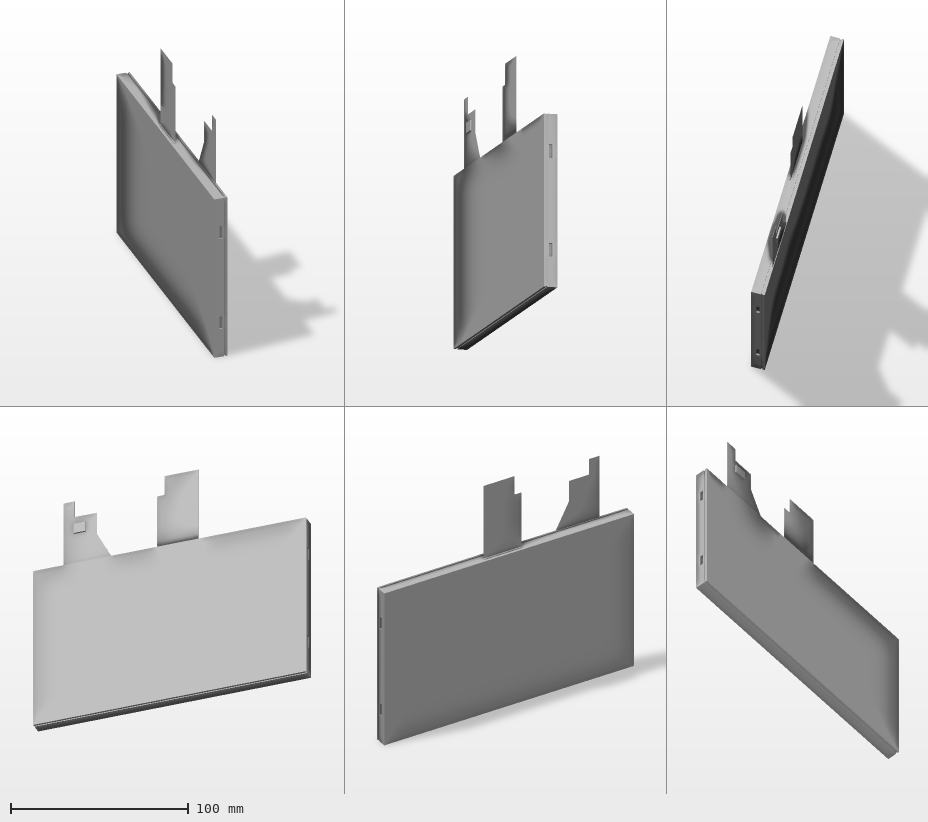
import cadquery as cq

WIDTH = 164.9
PANEL_HEIGHT = 100.0
TOTAL_HEIGHT = 148.0
TOTAL_DEPTH = 8.5

HOUSING_BACK = 5.8
ADHESIVE_BACK = 6.8
GLASS_BACK = 7.9
ADHESIVE_INSET = 0.5

RECESS_FRONT = 3.0
RECESS_BACK = 5.0
RECESS_HEIGHT = 7.8
RECESS_DEPTH = 1.2
RECESS_END_OFFSET = 17.6

TAIL_THICKNESS = 0.2
DISPLAY_TAIL_FRONT = 2.5
DISPLAY_TAIL_LEFT = -15.3
DISPLAY_TAIL_RIGHT = 9.7
DISPLAY_TAIL_STEP_X = 5.0
DISPLAY_TAIL_STEP_DROP = 12.2
DISPLAY_TAIL_FILLET = 1.0
STRIP_FRONT = 1.6
STRIP_HEIGHT = 0.5

TOUCH_TAIL_FRONT = 7.5
TOUCH_TAIL_ROOT_LEFT = 35.3
TOUCH_TAIL_LEFT = 44.0
TOUCH_TAIL_STEP_X = 57.4
TOUCH_TAIL_RIGHT = 64.3
TOUCH_TAIL_SLANT_TOP = 116.5
TOUCH_TAIL_STEP_Z = 130.0
TOUCH_TAIL_TOP = 140.2

CHIP_LEFT = 50.5
CHIP_WIDTH = 7.5
CHIP_BOTTOM = 119.0
CHIP_HEIGHT = 6.1


def box(left, right, front, back, bottom, top):
    """Box given by its limits along X, Y and Z."""
    size = (right - left, back - front, top - bottom)
    return cq.Workplane("XY").box(*size, centered=False).translate((left, front, bottom))


def sheet(outline, front):
    """Flex sheet with an (X, Z) outline, reaching back from its front face."""
    profile = cq.Workplane("XZ", origin=(0, front, 0)).polyline(outline).close()
    return profile.extrude(-TAIL_THICKNESS)


def panel():
    """Housing, inset adhesive layer and cover glass."""
    side = WIDTH / 2
    inset_side = side - ADHESIVE_INSET
    housing = box(-side, side, 0, HOUSING_BACK, 0, PANEL_HEIGHT)
    adhesive = box(
        -inset_side, inset_side, HOUSING_BACK, ADHESIVE_BACK,
        ADHESIVE_INSET, PANEL_HEIGHT - ADHESIVE_INSET,
    )
    glass = box(-side, side, ADHESIVE_BACK, GLASS_BACK, 0, PANEL_HEIGHT)
    upper_recess = PANEL_HEIGHT - RECESS_END_OFFSET - RECESS_HEIGHT
    for bottom in (RECESS_END_OFFSET, upper_recess):
        for left in (-side, side - RECESS_DEPTH):
            recess = box(
                left, left + RECESS_DEPTH, RECESS_FRONT, RECESS_BACK,
                bottom, bottom + RECESS_HEIGHT,
            )
            housing = housing.cut(recess)
    return housing.union(adhesive).union(glass)


def display_tail():
    """Stepped flex tail rising from the housing, with a low strip along its root."""
    step_z = TOTAL_HEIGHT - DISPLAY_TAIL_STEP_DROP
    outline = [
        (DISPLAY_TAIL_LEFT, PANEL_HEIGHT),
        (DISPLAY_TAIL_RIGHT, PANEL_HEIGHT),
        (DISPLAY_TAIL_RIGHT, step_z),
        (DISPLAY_TAIL_STEP_X, step_z),
        (DISPLAY_TAIL_STEP_X, TOTAL_HEIGHT),
        (DISPLAY_TAIL_LEFT, TOTAL_HEIGHT),
    ]
    tail = sheet(outline, DISPLAY_TAIL_FRONT)
    step_corner = (DISPLAY_TAIL_STEP_X, DISPLAY_TAIL_FRONT, step_z)
    tail = tail.edges("|Y").edges(cq.NearestToPointSelector(step_corner)).fillet(DISPLAY_TAIL_FILLET)
    strip = box(
        DISPLAY_TAIL_LEFT, DISPLAY_TAIL_RIGHT, STRIP_FRONT, DISPLAY_TAIL_FRONT,
        PANEL_HEIGHT, PANEL_HEIGHT + STRIP_HEIGHT,
    )
    return tail.union(strip)


def touch_tail():
    """Slanted and stepped flex tail rising from the glass, carrying a chip."""
    chip_front = TOUCH_TAIL_FRONT + TAIL_THICKNESS
    outline = [
        (TOUCH_TAIL_ROOT_LEFT, PANEL_HEIGHT),
        (TOUCH_TAIL_RIGHT, PANEL_HEIGHT),
        (TOUCH_TAIL_RIGHT, TOUCH_TAIL_TOP),
        (TOUCH_TAIL_STEP_X, TOUCH_TAIL_TOP),
        (TOUCH_TAIL_STEP_X, TOUCH_TAIL_STEP_Z),
        (TOUCH_TAIL_LEFT, TOUCH_TAIL_STEP_Z),
        (TOUCH_TAIL_LEFT, TOUCH_TAIL_SLANT_TOP),
    ]
    chip_right = CHIP_LEFT + CHIP_WIDTH
    chip_top = CHIP_BOTTOM + CHIP_HEIGHT
    chip = box(CHIP_LEFT, chip_right, chip_front, TOTAL_DEPTH, CHIP_BOTTOM, chip_top)
    return sheet(outline, TOUCH_TAIL_FRONT).union(chip)


result = panel().union(display_tail()).union(touch_tail())